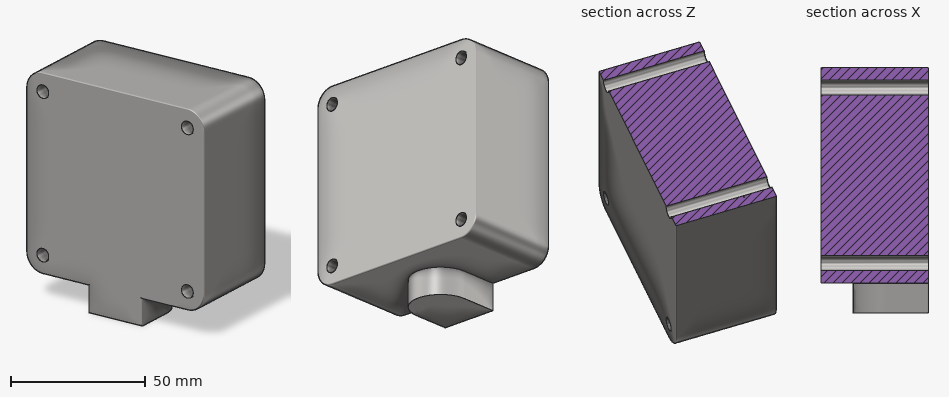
import cadquery as cq

body_side = 80.0
body_depth = 40.0
corner_radius = 7.5
edge_fillet = 0.5

hole_diameter = 5.3
hole_pitch = body_side - 2 * corner_radius

neck_width = 24.0
neck_length = 11.0
neck_radius = neck_width / 2
neck_straight_depth = 16.0

body_bottom = -body_side / 2


def make_body():
    """Square block with rounded corners along the depth."""
    block = cq.Workplane("XY").box(body_side, body_depth, body_side, centered=(True, False, True))
    return block.edges("|Y").fillet(corner_radius)


def make_neck():
    """D-shaped neck extruded from the bottom of the body downward."""
    return (
        cq.Workplane("XY", origin=(0, 0, body_bottom))
        .moveTo(-neck_radius, 0)
        .lineTo(neck_radius, 0)
        .lineTo(neck_radius, neck_straight_depth)
        .threePointArc((0, neck_straight_depth + neck_radius), (-neck_radius, neck_straight_depth))
        .close()
        .extrude(-neck_length)
    )


def break_face_edges(solid):
    """Round the outlines of the front face, neck included, and the back face."""
    return solid.faces("<Y or >Y").edges().fillet(edge_fillet)


def drill_mounting_holes(solid):
    """Four holes through the full depth."""
    drills = (
        cq.Workplane("XZ")
        .rect(hole_pitch, hole_pitch, forConstruction=True)
        .vertices()
        .circle(hole_diameter / 2)
        .extrude(-body_depth)
    )
    return solid.cut(drills)


housing = make_body().union(make_neck()).clean()
result = drill_mounting_holes(break_face_edges(housing))